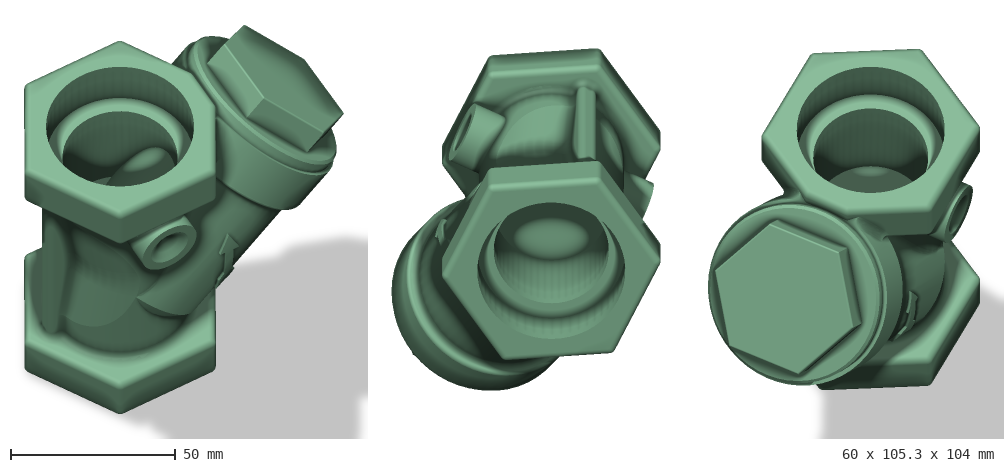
import cadquery as cq
import math

total_height = 104.0
edge_round = 2.0
full_turn = 360
quarter_turn = full_turn / 4
hex_half_angle = 30
tolerance = 0.1

hex_flats = 58.1
hex_height = 16.0
hex_cut_y = 29.5
pipe_radius = 22.0
socket_radius = 45.0 / 2
bore_radius = 35.0 / 2
bore_floor_z = 54.5
seat_radius = 20.0

rib_width = 6.0
rib_reach = 26.4

waist_radius = 24.2
waist_shift = 6.0
waist_tilt = 9.0
waist_bend_radius = 50.6
waist_half_span = 31.6
waist_height = 54.8

boss_span = 60.0
boss_radius = 9.5
boss_z = 77.3
dimple_radius = 13.0 / 2
dimple_depth = 3.9

branch_root_z = 31.5
branch_radius = 25.6
branch_foot = 1.6
foot_radius = 22.6
branch_start = 5.3
neck_fillet_y = -5.8
collar_radius = 28.8
collar_start = 53.1
collar_round = collar_radius - branch_radius - edge_round
collar_end = 68.8
flange_radius = 55.0 / 2
flange_end = 72.9
flange_chamfer = 0.8

cap_flats = 40.7
cap_end = 81.6
cap_turn = 1.3
cap_round = 0.5

arrow_y = 23.2
arrow_height = 1.0
arrow_tip_z = 62.8
arrow_head_z = 55.5
arrow_tail_top_z = 43.8
arrow_tail_wide_z = 41.1
arrow_notch_z = 37.7
arrow_bottom_z = 34.9
arrow_half_width = 3.3
arrow_shaft_half_width = 1.4

mid_z = total_height / 2
upper_hex_z = total_height - hex_height
lower_bore_depth = total_height - bore_floor_z
pipe_length = upper_hex_z - hex_height

across_branch = cq.Plane(origin=(0, 0, branch_root_z), xDir=(1, 0, 0), normal=(0, 1, 1))
along_branch = cq.Plane(origin=(0, 0, branch_root_z), xDir=(1, 0, 0), normal=(0, -1, 1))


def cylinder(radius, bottom_z, top_z):
    return cq.Workplane("XY").workplane(offset=bottom_z).circle(radius).extrude(top_z - bottom_z)


def branch_cylinder(radius, start, end):
    return cq.Workplane(across_branch).workplane(offset=start).circle(radius).extrude(end - start)


def end_hexagon(bottom_z):
    corner_diameter = hex_flats / math.cos(math.radians(hex_half_angle))
    return (
        cq.Workplane("XY").workplane(offset=bottom_z)
        .transformed(rotate=(0, 0, quarter_turn))
        .polygon(6, corner_diameter)
        .extrude(hex_height)
    )


def upper_hexagon():
    size = 2 * hex_flats
    beyond_cut = cq.Workplane("XY").box(size, size, size, centered=(True, False, False))
    beyond_cut = beyond_cut.translate((0, hex_cut_y, upper_hex_z))
    return end_hexagon(upper_hex_z).cut(beyond_cut)


def waist_cutter():
    """Slab on the -Y side with a bent round bar removed from it."""
    tilt = math.radians(waist_tilt)
    bend_y = waist_bend_radius * (1 - math.cos(tilt))
    bend_z = waist_bend_radius * math.sin(tilt)
    end_y = waist_shift - bend_y - (waist_half_span - bend_z) * math.tan(tilt)
    path = (
        cq.Workplane("YZ")
        .moveTo(end_y, mid_z - waist_half_span)
        .lineTo(waist_shift - bend_y, mid_z - bend_z)
        .threePointArc((waist_shift, mid_z), (waist_shift - bend_y, mid_z + bend_z))
        .lineTo(end_y, mid_z + waist_half_span)
    )
    start_plane = cq.Plane(
        origin=(0, end_y, mid_z - waist_half_span),
        xDir=(1, 0, 0),
        normal=(0, math.sin(tilt), math.cos(tilt)),
    )
    bar = cq.Workplane(start_plane).circle(waist_radius).sweep(path)
    slab_width = 3 * pipe_radius
    slab = cq.Workplane("XY").box(slab_width, slab_width, waist_height)
    slab = slab.translate((0, -slab_width / 2, mid_z))
    return slab.cut(bar)


def rib():
    bar = cq.Workplane("XY").workplane(offset=hex_height).center(0, -rib_reach / 2)
    bar = bar.rect(rib_width, rib_reach).extrude(pipe_length)
    return bar.edges("|Z and <Y").fillet(edge_round)


def pipe():
    """Pinched pipe with the rib blended into it."""
    body = cylinder(pipe_radius, hex_height, upper_hex_z).cut(waist_cutter()).union(rib())
    clear_of_ends = edge_round / 2
    rib_roots = cq.selectors.BoxSelector(
        (-rib_width, -pipe_radius - edge_round, hex_height + clear_of_ends),
        (rib_width, -pipe_radius / 2, upper_hex_z - clear_of_ends),
    )
    return body.edges(rib_roots).fillet(edge_round)


def is_pipe_root(edge, z):
    """True for the edges where the pipe and rib stand on a hexagon face at height z."""
    box = edge.BoundingBox()
    flat_reach = hex_flats / 2 - edge_round
    center = edge.Center()
    in_face = max(abs(box.zmin - z), abs(box.zmax - z)) < tolerance
    return in_face and math.hypot(center.x, center.y) < flat_reach - tolerance


def run():
    """Pipe between the two end hexagons, blended into both."""
    body = pipe()
    for hexagon in (end_hexagon(0), upper_hexagon()):
        body = body.union(hexagon.edges().fillet(edge_round))
    for z in (hex_height, upper_hex_z):
        roots = [edge for edge in body.edges().vals() if is_pipe_root(edge, z)]
        body = body.newObject(roots).fillet(edge_round)
    return body


def branch():
    """Turned outline: foot cone, branch, rounded step, collar and cap flange."""
    outline = (
        cq.Workplane(along_branch)
        .moveTo(0, branch_foot)
        .lineTo(foot_radius, branch_foot)
        .lineTo(branch_radius, branch_start)
        .lineTo(branch_radius, collar_start - edge_round)
        .radiusArc((branch_radius + edge_round, collar_start), edge_round)
        .radiusArc((collar_radius, collar_start + collar_round), -collar_round)
        .lineTo(collar_radius, collar_end)
        .lineTo(flange_radius, collar_end)
        .lineTo(flange_radius, flange_end - flange_chamfer)
        .lineTo(flange_radius - flange_chamfer, flange_end)
        .lineTo(0, flange_end)
        .close()
    )
    return outline.revolve(full_turn, (0, 0), (0, 1))


def cap_hexagon():
    corner_diameter = cap_flats / math.cos(math.radians(hex_half_angle))
    block = (
        cq.Workplane(across_branch).workplane(offset=flange_end)
        .transformed(rotate=(0, 0, cap_turn))
        .polygon(6, corner_diameter)
        .extrude(cap_end - flange_end)
    )
    top = cq.selectors.DirectionMinMaxSelector(cq.Vector(0, 1, 1), True)
    return block.faces(top).edges().fillet(cap_round)


def arrows():
    half = [
        (arrow_half_width, arrow_head_z),
        (arrow_shaft_half_width, arrow_head_z),
        (arrow_shaft_half_width, arrow_tail_top_z),
        (arrow_half_width, arrow_tail_wide_z),
        (arrow_half_width, arrow_bottom_z),
    ]
    one_side = [(arrow_y + w, z) for w, z in half]
    other_side = [(arrow_y - w, z) for w, z in reversed(half)]
    outline = [(arrow_y, arrow_tip_z)] + one_side + [(arrow_y, arrow_notch_z)] + other_side
    bar = cq.Workplane("YZ").polyline(outline).close().extrude(collar_radius, both=True)
    return bar.intersect(branch_cylinder(branch_radius + arrow_height, branch_start, collar_start))


def bosses():
    return cq.Workplane("YZ").center(0, boss_z).circle(boss_radius).extrude(boss_span / 2, both=True)


def dimple(side):
    tip = cq.Vector(side * (boss_span / 2 - dimple_depth), 0, boss_z)
    cone = cq.Solid.makeCone(0, dimple_radius, dimple_depth, tip, cq.Vector(side, 0, 0))
    return cq.Workplane(cone)


def upper_bore():
    bore = cylinder(bore_radius, bore_floor_z, total_height)
    return bore.cut(branch_cylinder(seat_radius, -2 * seat_radius, collar_end))


def neck_fillet():
    """Rounded fill of the crotch where the branch leaves the pipe."""
    straight = cylinder(pipe_radius, 0, total_height)
    arm = branch_cylinder(branch_radius, -total_height, total_height)
    crossing = straight.union(arm)
    curves = crossing.edges("not %CIRCLE").vals()
    seam = [edge for edge in curves if edge.Center().z > edge.Center().y + branch_root_z]
    fill = crossing.newObject(seam).fillet(edge_round).cut(crossing)
    size = 2 * pipe_radius + 2 * branch_radius
    clear_of_waist = cq.Workplane("XY").box(size, size, upper_hex_z, centered=(True, False, False))
    clear_of_waist = clear_of_waist.translate((0, neck_fillet_y, 0))
    beside_collar = branch_cylinder(2 * branch_radius, branch_start, collar_start + collar_round)
    return fill.intersect(clear_of_waist).intersect(beside_collar)


def collar_fillet(side):
    """Rounded fill between the collar and one slanted side of the upper hexagon."""
    size = 4 * total_height
    half_space = (
        cq.Workplane("XY").box(size, size, size)
        .translate((0, (hex_flats - size) / 2, upper_hex_z))
        .rotate((0, 0, 0), (0, 0, 1), -side * hex_half_angle)
    )
    arm = branch_cylinder(collar_radius, -size, size)
    crossing = half_space.union(arm)
    fill = crossing.edges("%ELLIPSE").fillet(edge_round).cut(crossing)
    flat_height = hex_height - 2 * edge_round
    flat_zone = cq.Workplane("XY").box(hex_flats, hex_flats, flat_height, centered=(True, False, False))
    flat_zone = flat_zone.translate((0, 0, upper_hex_z + edge_round))
    along_collar = branch_cylinder(2 * branch_radius, collar_start + collar_round, collar_end)
    return fill.intersect(flat_zone).intersect(along_collar)


body = run().union(branch()).union(neck_fillet())
for side in (-1, 1):
    body = body.union(collar_fillet(side))
body = body.union(cap_hexagon()).union(arrows()).union(bosses())

body = body.cut(upper_bore())
body = body.cut(cylinder(bore_radius, 0, lower_bore_depth))
for z in (0, upper_hex_z):
    body = body.cut(cylinder(socket_radius, z, z + hex_height))
for side in (-1, 1):
    body = body.cut(dimple(side))
result = body